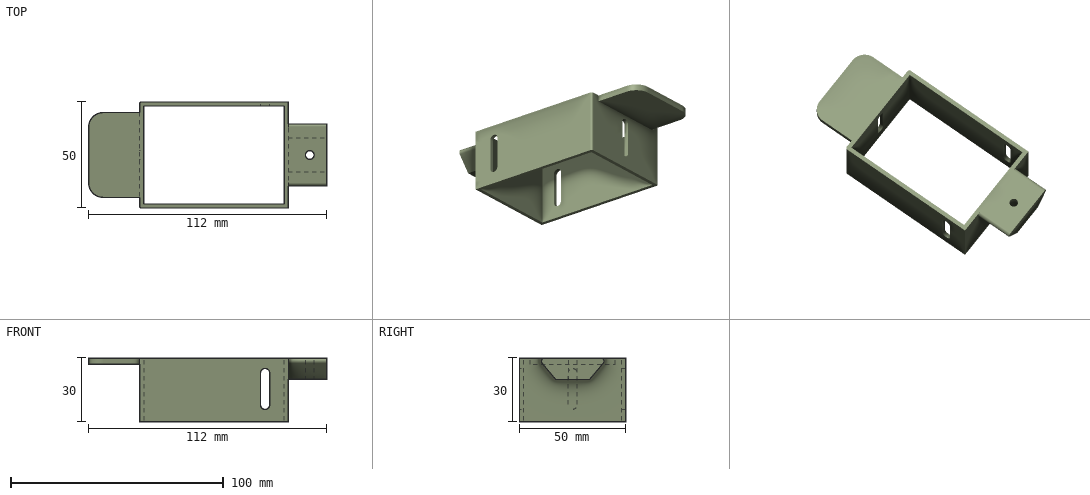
import cadquery as cq
import math

FRAME_LENGTH = 70.0
FRAME_WIDTH = 50.0
FRAME_HEIGHT = 30.0
WALL = 2.0
FRAME_CORNER_RADIUS = 1.0

TAB_LENGTH = 24.0
TAB_WIDTH = 40.0
TAB_THICKNESS = 3.0
TAB_CORNER_RADIUS = 7.0

TONGUE_LENGTH = 18.0
TONGUE_HEIGHT = 10.0
TONGUE_BASE_WIDTH = 16.0
TONGUE_FLANK_ANGLE = 40.0
TONGUE_EDGE_RADIUS = 1.5
TONGUE_HOLE_DIAMETER = 4.0
TONGUE_HOLE_FROM_FRAME = 10.0

SLOT_WIDTH = 4.2
SLOT_TRAVEL = 15.0
SLOT_LENGTH = SLOT_TRAVEL + SLOT_WIDTH
SLOT_CENTRE_Z = 15.5
SIDE_SLOT_FROM_END = 11.0

HALF_LENGTH = FRAME_LENGTH / 2


def make_frame():
    """Block with rounded -X corners and a sharp-cornered opening through it."""
    block = cq.Workplane("XY").box(FRAME_LENGTH, FRAME_WIDTH, FRAME_HEIGHT, centered=(True, True, False))
    block = block.edges("|Z and <X").fillet(FRAME_CORNER_RADIUS)
    opening_length = FRAME_LENGTH - 2 * WALL
    opening_width = FRAME_WIDTH - 2 * WALL
    return block.faces(">Z").workplane().rect(opening_length, opening_width).cutThruAll()


def make_tab():
    """Flat plate with its two outer corners rounded."""
    tab = cq.Workplane("XY").box(TAB_LENGTH, TAB_WIDTH, TAB_THICKNESS, centered=(True, True, False))
    tab = tab.edges("|Z and <X").fillet(TAB_CORNER_RADIUS)
    return tab.translate((-HALF_LENGTH - TAB_LENGTH / 2, 0, FRAME_HEIGHT - TAB_THICKNESS))


def make_tongue():
    """Dovetail bar, wider at the top, with rounded top edges and a vertical through hole."""
    half_base = TONGUE_BASE_WIDTH / 2
    half_top = half_base + TONGUE_HEIGHT * math.tan(math.radians(TONGUE_FLANK_ANGLE))
    bottom_z = FRAME_HEIGHT - TONGUE_HEIGHT
    section = [
        (-half_base, bottom_z),
        (half_base, bottom_z),
        (half_top, FRAME_HEIGHT),
        (-half_top, FRAME_HEIGHT),
    ]
    tongue = cq.Workplane("YZ", origin=(HALF_LENGTH, 0, 0)).polyline(section).close().extrude(TONGUE_LENGTH)
    tongue = tongue.edges("|X and >Z").fillet(TONGUE_EDGE_RADIUS)
    hole = (
        cq.Workplane("XY", origin=(HALF_LENGTH + TONGUE_HOLE_FROM_FRAME, 0, bottom_z))
        .circle(TONGUE_HOLE_DIAMETER / 2)
        .extrude(TONGUE_HEIGHT)
    )
    return tongue.cut(hole)


def slot_cutter(plane, origin, depth):
    """Upright round-ended slot, cut symmetrically about the given plane."""
    slot_angle = 90
    slot = cq.Workplane(plane, origin=origin).slot2D(SLOT_LENGTH, SLOT_WIDTH, slot_angle)
    return slot.extrude(depth / 2, both=True)


side_slots = slot_cutter("XZ", (HALF_LENGTH - SIDE_SLOT_FROM_END, 0, SLOT_CENTRE_Z), FRAME_WIDTH)
end_slot = slot_cutter("YZ", (-HALF_LENGTH + WALL / 2, 0, SLOT_CENTRE_Z), WALL)

result = make_frame().union(make_tab()).union(make_tongue()).cut(side_slots).cut(end_slot)